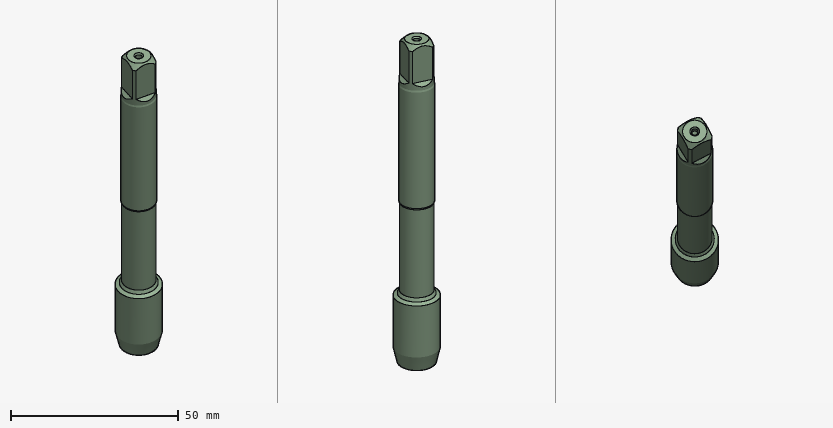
import cadquery as cq
import math

head_radius = 14.2 / 2
tip_radius = 5.9
tip_face_radius = 5.5
tip_bevel_height = 0.3
taper_top_z = 5.3
head_top_z = 22.9
collar_radius = 5.8
collar_z = 23.5
head_end_z = 24.6

overall_length = 110.0
neck_radius = 10.5 / 2
grip_radius = 10.9 / 2
drive_end_radius = 10.6 / 2
grip_start_z = 54.6
grip_end_z = 95.0
grip_bevel_height = 0.5

square_width = 8.2
square_bottom_z = 97.5
runout_angle = 45.0
end_face_radius = 3.6
end_bevel_angle = 45.0

centre_hole_radius = 2.0 / 2
countersink_radius = 1.4
countersink_depth = 0.4
centre_hole_depth = 2.2
drill_point_angle = 120.0


def revolve_profile(points):
    """Revolve a closed (radius, z) outline about the Z axis."""
    return cq.Workplane("XZ").polyline(points).close().revolve(360, (0, 0), (0, 1))


def make_head():
    """Tapered cutting head with a bevelled collar down to the neck."""
    return revolve_profile([
        (0, 0),
        (tip_face_radius, 0),
        (tip_radius, tip_bevel_height),
        (head_radius, taper_top_z),
        (head_radius, head_top_z),
        (collar_radius, collar_z),
        (neck_radius, head_end_z),
        (0, head_end_z),
    ])


def make_round_shank():
    """Neck, thicker grip and drive end as one turned shape."""
    end_bevel_height = (drive_end_radius - end_face_radius) * math.tan(math.radians(end_bevel_angle))
    return revolve_profile([
        (0, head_end_z),
        (neck_radius, head_end_z),
        (neck_radius, grip_start_z),
        (grip_radius, grip_start_z + grip_bevel_height),
        (grip_radius, grip_end_z - grip_bevel_height),
        (drive_end_radius, grip_end_z),
        (drive_end_radius, overall_length - end_bevel_height),
        (end_face_radius, overall_length),
        (0, overall_length),
    ])


def make_flat_cutter():
    """Waste on the -Y side of the square, with a sloping run-out at its foot."""
    flat_distance = square_width / 2
    cut_reach = grip_radius - flat_distance
    runout_drop = cut_reach * math.tan(math.radians(runout_angle))
    return (
        cq.Workplane("YZ")
        .polyline([
            (-flat_distance, square_bottom_z),
            (-flat_distance, overall_length),
            (-grip_radius, overall_length),
            (-grip_radius, square_bottom_z - runout_drop),
        ])
        .close()
        .extrude(grip_radius, both=True)
    )


def make_centre_hole():
    """Blind hole with a countersunk mouth and a conical drill point."""
    point_height = centre_hole_radius / math.tan(math.radians(drill_point_angle / 2))
    return revolve_profile([
        (0, overall_length),
        (countersink_radius, overall_length),
        (centre_hole_radius, overall_length - countersink_depth),
        (centre_hole_radius, overall_length - centre_hole_depth),
        (0, overall_length - centre_hole_depth - point_height),
    ])


def make_shank():
    """Turned shank with four flats and a centre hole."""
    shank = make_round_shank()
    for turn in (0, 90, 180, 270):
        shank = shank.cut(make_flat_cutter().rotate((0, 0, 0), (0, 0, 1), turn))
    return shank.cut(make_centre_hole())


head = make_head()
shank = make_shank()
result = cq.Compound.makeCompound([head.val(), shank.val()])